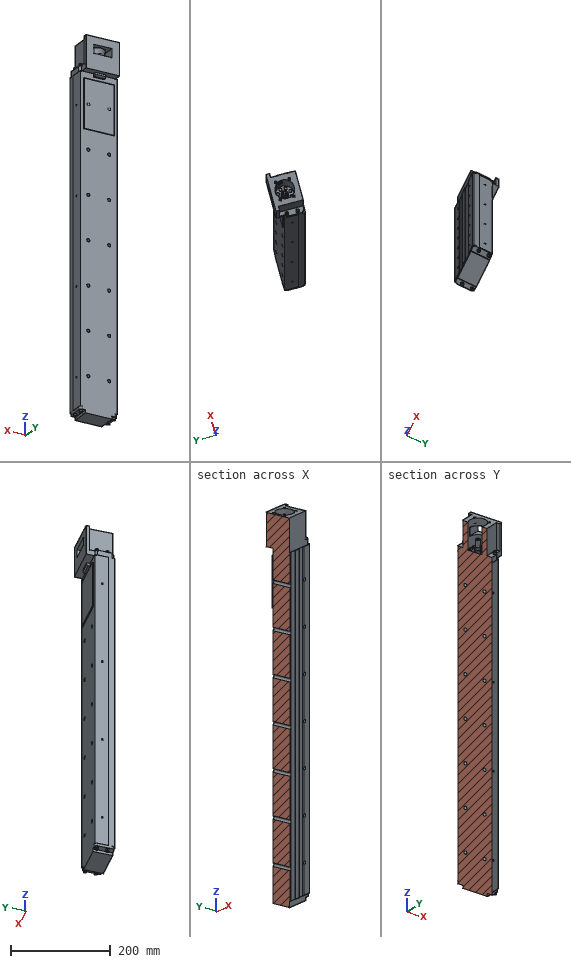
import cadquery as cq
import math


TOTAL_LENGTH = 827.5
TOTAL_WIDTH = 86.0
TOTAL_DEPTH = 60.0
BACK_Y = TOTAL_DEPTH / 2
MOUNT_Y = -TOTAL_DEPTH / 2

RAIL_BOTTOM_Z = 13.0
RAIL_TOP_Z = 754.0
RAIL_LENGTH = RAIL_TOP_Z - RAIL_BOTTOM_Z
RAIL_BACK_Y = 13.0
RAIL_CHAMFER = 2.1
COVER_EDGE_Y = -16.0
COVER_INSET = 0.4
RECESS_DEPTH = 1.2
RECESS_INNER_X = 7.0
RECESS_OUTER_X = 19.0
RECESS_BEVEL = 2.5

MOUNT_HOLE_PITCH = 100.0
FIRST_HOLE_Z = 83.0
MOUNT_HOLE_ROWS = 7
MOUNT_HOLE_X = 24.0
MOUNT_HOLE_DIAMETER = 7.0
SIDE_HOLE_COUNT = 4
SIDE_HOLE_PITCH = 2 * MOUNT_HOLE_PITCH
SIDE_HOLE_Y = -2.9
SIDE_HOLE_DIAMETER = 3.2
SIDE_HOLE_DEPTH = 5.0

CAP_INSET = 2.0
CAP_FRONT_Y = MOUNT_Y + CAP_INSET
CAP_CORNER = 6.0
TOP_CAP_HEIGHT = 12.0
TOP_CAP_Z = RAIL_TOP_Z + TOP_CAP_HEIGHT
BOTTOM_CAP_Z = 7.0
FOOT_WIDTH = 61.0

SCREW_X = 38.0
SCREW_YS = (7.5, -15.0)
SCREW_DIAMETER = 7.0
SCREW_HEIGHT = 5.0
SOCKET_DIAMETER = 4.0
SOCKET_DEPTH = 2.5

MOUNT_WIDTH = 61.0
FLANGE_WIDTH = 78.0
FLANGE_THICKNESS = 7.5
FLANGE_CHAMFER = 1.0
BORE_Y = 2.0
BORE_DIAMETER = 39.0
BORE_FLOOR_Z = 765.0
MOTOR_HOLE_X = 18.0
MOTOR_HOLE_Y = 14.0
MOTOR_HOLE_DIAMETER = 5.0
MOTOR_HOLE_DEPTH = 12.0
WINDOW_WIDTH = 41.0
WINDOW_BOTTOM_Z = 790.0
WINDOW_TOP_Z = 810.0

BEARING_SCREW_COUNT = 8
BEARING_SCREW_CIRCLE = 14.0
BEARING_SCREW_DIAMETER = 6.1
BEARING_SCREW_HEIGHT = 3.0
SHAFT_STEPS = ((16.0, 3.0), (12.0, 8.0), (10.0, 25.0), (5.0, 26.5))

LUG_WIDTH = 25.0
LUG_DEPTH = 7.5
LUG_HEIGHT = 7.5
LUG_CHAMFER = 3.0

CARRIAGE_WIDTH = 69.5
CARRIAGE_THICKNESS = 2.5
CARRIAGE_BOTTOM_Z = 627.0
CARRIAGE_LENGTH = 112.0


def block(width, front_y, back_y, bottom_z, top_z):
    """Box centred on X = 0 between the given Y and Z limits."""
    return cq.Workplane("XY").box(
        width, back_y - front_y, top_z - bottom_z, centered=(True, False, False)
    ).translate((0, front_y, bottom_z))


def post(x, y, bottom_z, diameter, height):
    """Upright cylinder standing on bottom_z."""
    return cq.Workplane("XY", origin=(x, y, bottom_z)).circle(diameter / 2).extrude(height)


def make_rail():
    half_width = TOTAL_WIDTH / 2
    cover_half_width = half_width - COVER_INSET
    recess_y = MOUNT_Y + RECESS_DEPTH
    half_outline = [
        (0, MOUNT_Y),
        (RECESS_INNER_X, MOUNT_Y),
        (RECESS_INNER_X, recess_y),
        (RECESS_OUTER_X, recess_y),
        (RECESS_OUTER_X + RECESS_BEVEL, MOUNT_Y),
        (half_width - RAIL_CHAMFER, MOUNT_Y),
        (half_width, MOUNT_Y + RAIL_CHAMFER),
        (half_width, COVER_EDGE_Y),
        (cover_half_width, COVER_EDGE_Y),
        (cover_half_width, RAIL_BACK_Y),
        (0, RAIL_BACK_Y),
    ]
    return (
        cq.Workplane("XY", origin=(0, 0, RAIL_BOTTOM_Z))
        .polyline(half_outline)
        .mirrorY()
        .extrude(RAIL_LENGTH)
    )


def make_rail_holes():
    mount_points = [
        (x, FIRST_HOLE_Z + row * MOUNT_HOLE_PITCH)
        for x in (-MOUNT_HOLE_X, MOUNT_HOLE_X)
        for row in range(MOUNT_HOLE_ROWS)
    ]
    mount_holes = (
        cq.Workplane("XZ", origin=(0, RAIL_BACK_Y, 0))
        .pushPoints(mount_points)
        .circle(MOUNT_HOLE_DIAMETER / 2)
        .extrude(RAIL_BACK_Y - MOUNT_Y)
    )
    side_points = [
        (SIDE_HOLE_Y, FIRST_HOLE_Z + row * SIDE_HOLE_PITCH) for row in range(SIDE_HOLE_COUNT)
    ]
    side_holes = (
        cq.Workplane("YZ", origin=(-TOTAL_WIDTH / 2, 0, 0))
        .pushPoints(side_points)
        .circle(SIDE_HOLE_DIAMETER / 2)
        .extrude(SIDE_HOLE_DEPTH)
    )
    return mount_holes.union(side_holes).union(side_holes.mirror("YZ"))


def make_cap_screws(bottom_z, socket_z):
    """Four screw heads; their sockets start at socket_z."""
    screws = cq.Workplane("XY")
    for x in (-SCREW_X, SCREW_X):
        for y in SCREW_YS:
            head = post(x, y, bottom_z, SCREW_DIAMETER, SCREW_HEIGHT)
            socket = post(x, y, socket_z, SOCKET_DIAMETER, SOCKET_DEPTH)
            screws = screws.union(head.cut(socket))
    return screws


def make_bottom_cap():
    plate = (
        block(TOTAL_WIDTH, CAP_FRONT_Y, RAIL_BACK_Y, BOTTOM_CAP_Z, RAIL_BOTTOM_Z)
        .edges("|Z")
        .fillet(CAP_CORNER)
    )
    foot = block(FOOT_WIDTH, CAP_FRONT_Y, RAIL_BACK_Y, 0, BOTTOM_CAP_Z)
    head_z = BOTTOM_CAP_Z - SCREW_HEIGHT
    return plate.union(foot).union(make_cap_screws(head_z, head_z))


def make_lug():
    return (
        block(LUG_WIDTH, RAIL_BACK_Y, RAIL_BACK_Y + LUG_DEPTH, RAIL_TOP_Z - LUG_HEIGHT, RAIL_TOP_Z)
        .edges(">Y and <Z")
        .chamfer(LUG_CHAMFER)
    )


def make_motor_mount():
    cap = (
        block(TOTAL_WIDTH, CAP_FRONT_Y, RAIL_BACK_Y, RAIL_TOP_Z, TOP_CAP_Z)
        .edges("|Z")
        .chamfer(CAP_CORNER)
    )
    tower = block(MOUNT_WIDTH, CAP_FRONT_Y, BACK_Y, RAIL_TOP_Z, TOTAL_LENGTH)
    shoulder = block(FLANGE_WIDTH, RAIL_BACK_Y - CAP_CORNER, BACK_Y, RAIL_TOP_Z, TOP_CAP_Z)
    flange = block(FLANGE_WIDTH, BACK_Y - FLANGE_THICKNESS, BACK_Y, RAIL_TOP_Z, TOTAL_LENGTH)
    back = shoulder.union(flange).edges("|Z and >Y").chamfer(FLANGE_CHAMFER)
    screws = make_cap_screws(TOP_CAP_Z, TOP_CAP_Z + SCREW_HEIGHT - SOCKET_DEPTH)
    return cap.union(tower).union(back).union(screws).union(make_lug())


def cut_motor_mount(mount):
    bore = post(0, BORE_Y, BORE_FLOOR_Z, BORE_DIAMETER, TOTAL_LENGTH - BORE_FLOOR_Z)
    window = block(WINDOW_WIDTH, BORE_Y, BACK_Y, WINDOW_BOTTOM_Z, WINDOW_TOP_Z)
    mount = mount.cut(bore).cut(window)
    for side_x in (-1, 1):
        for side_y in (-1, 1):
            x = side_x * MOTOR_HOLE_X
            y = BORE_Y + side_y * MOTOR_HOLE_Y
            bottom_z = TOTAL_LENGTH - MOTOR_HOLE_DEPTH
            mount = mount.cut(post(x, y, bottom_z, MOTOR_HOLE_DIAMETER, MOTOR_HOLE_DEPTH))
    return mount


def make_bore_floor_parts():
    parts = cq.Workplane("XY")
    for diameter, height in SHAFT_STEPS:
        parts = parts.union(post(0, BORE_Y, BORE_FLOOR_Z, diameter, height))
    for index in range(BEARING_SCREW_COUNT):
        angle = 2 * math.pi * (index + 0.5) / BEARING_SCREW_COUNT
        x = BEARING_SCREW_CIRCLE * math.cos(angle)
        y = BORE_Y + BEARING_SCREW_CIRCLE * math.sin(angle)
        parts = parts.union(post(x, y, BORE_FLOOR_Z, BEARING_SCREW_DIAMETER, BEARING_SCREW_HEIGHT))
    return parts


def make_actuator():
    rail = make_rail().cut(make_rail_holes())
    mount = cut_motor_mount(make_motor_mount()).union(make_bore_floor_parts())
    return rail.union(make_bottom_cap()).union(mount)


def make_carriage():
    return block(
        CARRIAGE_WIDTH,
        RAIL_BACK_Y,
        RAIL_BACK_Y + CARRIAGE_THICKNESS,
        CARRIAGE_BOTTOM_Z,
        CARRIAGE_BOTTOM_Z + CARRIAGE_LENGTH,
    )


actuator = make_actuator()
carriage = make_carriage()
result = cq.Compound.makeCompound([actuator.val(), carriage.val()])